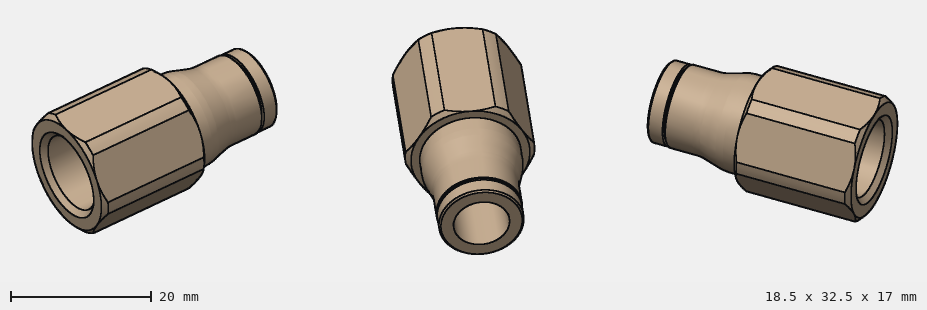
import cadquery as cq
import math

total_length = 32.5
hex_length = 18.0
y_front = -total_length / 2
y_back = total_length / 2
y_hex_end = y_front + hex_length

across_flats = 17.0
corner_diameter = 18.5
hex_face_diameter = across_flats
hex_chamfer_length = 0.65

collar_diameter = 14.5
collar_length = 2.28
taper_angle = math.radians(15.6)
taper_blend_radius = 4.55
neck_diameter = 12.32
groove_diameter = 11.05
groove_width = 0.4
head_diameter = 12.15
head_length = 2.4
edge_chamfer = 0.25
neck_chamfer = 0.1

through_diameter = 8.0
socket_diameter = 11.5
socket_depth = 13.0
socket_mouth_diameter = 13.2
socket_chamfer_length = (socket_mouth_diameter - socket_diameter) / 2


def revolve_about_y(profile):
    """Revolve a closed (radius, y) profile around the Y axis."""
    return profile.close().revolve(360, (0, 0, 0), (0, 1, 0))


def hex_body():
    """Hexagonal prism with rounded corners and chamfered ends."""
    circumdiameter = across_flats / math.cos(math.pi / 6)
    prism = (
        cq.Workplane("XZ", origin=(0, y_hex_end, 0))
        .polygon(6, circumdiameter)
        .extrude(hex_length)
    )
    face_radius = hex_face_diameter / 2
    corner_radius = corner_diameter / 2
    envelope = revolve_about_y(
        cq.Workplane("XY").polyline([
            (0, y_front),
            (face_radius, y_front),
            (corner_radius, y_front + hex_chamfer_length),
            (corner_radius, y_hex_end - hex_chamfer_length),
            (face_radius, y_hex_end),
            (0, y_hex_end),
        ])
    )
    return prism.intersect(envelope)


def neck():
    """Collar, blended taper, cylindrical neck, groove and end ring."""
    collar_radius = collar_diameter / 2
    neck_radius = neck_diameter / 2
    groove_radius = groove_diameter / 2
    head_radius = head_diameter / 2

    blend_length = taper_blend_radius * math.sin(taper_angle)
    blend_drop = taper_blend_radius * (1 - math.cos(taper_angle))
    cone_drop = collar_radius - neck_radius - 2 * blend_drop
    cone_length = cone_drop / math.tan(taper_angle)

    y_taper = y_hex_end + collar_length
    y_cone_start = y_taper + blend_length
    y_cone_end = y_cone_start + cone_length
    y_neck = y_cone_end + blend_length
    y_head = y_back - head_length
    y_groove = y_head - groove_width

    return revolve_about_y(
        cq.Workplane("XY")
        .moveTo(0, y_hex_end)
        .lineTo(collar_radius, y_hex_end)
        .lineTo(collar_radius, y_taper)
        .tangentArcPoint((collar_radius - blend_drop, y_cone_start), relative=False)
        .lineTo(neck_radius + blend_drop, y_cone_end)
        .tangentArcPoint((neck_radius, y_neck), relative=False)
        .lineTo(neck_radius, y_groove - neck_chamfer)
        .lineTo(neck_radius - neck_chamfer, y_groove)
        .lineTo(groove_radius, y_groove)
        .lineTo(groove_radius, y_head)
        .lineTo(head_radius, y_head)
        .lineTo(head_radius, y_back - edge_chamfer)
        .lineTo(head_radius - edge_chamfer, y_back)
        .lineTo(0, y_back)
    )


def bore():
    """Through hole widened to a chamfered socket at the hexagonal end."""
    through_radius = through_diameter / 2
    socket_radius = socket_diameter / 2
    y_socket_floor = y_front + socket_depth
    return revolve_about_y(
        cq.Workplane("XY").polyline([
            (0, y_front),
            (socket_mouth_diameter / 2, y_front),
            (socket_radius, y_front + socket_chamfer_length),
            (socket_radius, y_socket_floor),
            (through_radius, y_socket_floor),
            (through_radius, y_back),
            (0, y_back),
        ])
    )


result = hex_body().union(neck()).cut(bore())